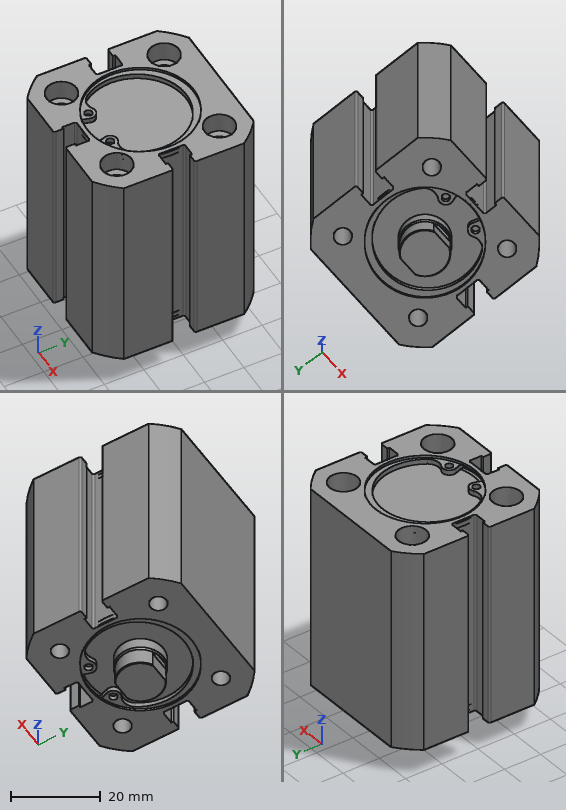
import cadquery as cq
import math

width = 41.0
overall_length = 59.0
housing_length = 53.0
corner_radius = 25.55
bore_radius = 13.5

bolt_spacing = 26.0
bolt_hole_diameter = 4.15
counterbore_diameter = 7.5
counterbore_depth = 5.15

ring_radius = 14.4
ring_thickness = 1.3
ring_inset = 0.65
ring_inner_radius = 12.45
ring_inner_offset = 0.8
lug_radius = 1.75
lug_hole_radius = 0.95
lug_x = 5.15
lug_y = -10.45
lug_blend_radius = 3.1

slot_neck_width = 5.5
slot_neck_depth = 2.5
slot_pocket_width = 6.65
slot_fillet = 0.5
side_slot_wall = 0.1
front_slot_wall = 0.2
side_slot_floor = ring_radius + side_slot_wall
front_slot_floor = ring_radius + front_slot_wall

plate_thickness = 5.9
plate_inset = ring_inset + ring_thickness

rod_radius = 6.0
neck_radius = 5.7
collar_length = 1.0
collar_taper = 0.5
neck_start = collar_length + collar_taper
rod_end_chamfer = 0.2
flats_width = 10.0
flats_start = 2.0
rod_protrusion = overall_length - housing_length
rod_top = housing_length - plate_inset - plate_thickness


def cylinder(radius, bottom, height):
    return cq.Workplane("XY").workplane(offset=bottom).circle(radius).extrude(height)


def ring_bottoms():
    """Z of the underside of the lower and of the upper retaining ring."""
    return [ring_inset, housing_length - ring_inset - ring_thickness]


def slot_cutter(floor, angle):
    """T-slot opening towards +X, turned about Z by the angle."""
    face = width / 2
    neck = slot_neck_width / 2
    pocket = slot_pocket_width / 2
    shoulder = face - slot_neck_depth
    mouth = neck + slot_fillet
    bulge = slot_fillet * (1 - math.sqrt(0.5))
    cutter = (
        cq.Workplane("XY")
        .moveTo(face, -mouth)
        .threePointArc((face - bulge, -neck - bulge), (face - slot_fillet, -neck))
        .lineTo(shoulder, -neck)
        .lineTo(shoulder, -pocket)
        .lineTo(floor + slot_fillet, -pocket)
        .threePointArc((floor + bulge, -pocket + bulge), (floor, -pocket + slot_fillet))
        .lineTo(floor, pocket - slot_fillet)
        .threePointArc((floor + bulge, pocket - bulge), (floor + slot_fillet, pocket))
        .lineTo(shoulder, pocket)
        .lineTo(shoulder, neck)
        .lineTo(face - slot_fillet, neck)
        .threePointArc((face - bulge, neck + bulge), (face, mouth))
        .close()
        .extrude(housing_length)
    )
    return cutter.rotate((0, 0, 0), (0, 0, 1), angle)


def make_housing():
    body = cq.Workplane("XY").rect(width, width).extrude(housing_length)
    body = body.intersect(cylinder(corner_radius, 0, housing_length))
    body = body.cut(cylinder(bore_radius, 0, housing_length))
    for bottom in ring_bottoms():
        body = body.cut(cylinder(ring_radius, bottom, ring_thickness))
    for floor, angle in [(side_slot_floor, 0), (side_slot_floor, 180), (front_slot_floor, -90)]:
        body = body.cut(slot_cutter(floor, angle))
    return (
        body.faces(">Z")
        .workplane(origin=(0, 0, housing_length))
        .rect(bolt_spacing, bolt_spacing, forConstruction=True)
        .vertices()
        .cboreHole(bolt_hole_diameter, counterbore_diameter, counterbore_depth)
    )


def point_towards(start, target, distance):
    """Point at a distance from start on the straight line towards target."""
    ratio = distance / math.dist(start, target)
    return (start[0] + ratio * (target[0] - start[0]), start[1] + ratio * (target[1] - start[1]))


def mirrored(point):
    return (-point[0], point[1])


def blend_center(inner_center, lug_center):
    """Centre of the arc that touches the inner circle from inside and the lug from outside."""
    to_inner = ring_inner_radius - lug_blend_radius
    to_lug = lug_radius + lug_blend_radius
    spacing = math.dist(inner_center, lug_center)
    along = (to_inner**2 - to_lug**2 + spacing**2) / (2 * spacing)
    aside = math.sqrt(to_inner**2 - along**2)
    foot = point_towards(inner_center, lug_center, along)
    direction_x = (lug_center[0] - inner_center[0]) / spacing
    direction_y = (lug_center[1] - inner_center[1]) / spacing
    return (foot[0] - aside * direction_y, foot[1] + aside * direction_x)


def make_ring(bottom):
    axis = (0, 0)
    inner_center = (0, -ring_inner_offset)
    lug = (lug_x, lug_y)
    blend = blend_center(inner_center, lug)

    lug_distance = math.dist(axis, lug)
    gap_angle = math.atan2(lug_x, -lug_y) - math.asin(lug_radius / lug_distance)
    gap_direction = (math.sin(gap_angle), -math.cos(gap_angle))
    outer_end = point_towards(axis, gap_direction, ring_radius)
    lug_start = point_towards(axis, gap_direction, math.sqrt(lug_distance**2 - lug_radius**2))

    lug_middle = point_towards(lug, inner_center, lug_radius)
    lug_end = point_towards(lug, blend, lug_radius)
    blend_end = point_towards(inner_center, blend, ring_inner_radius)
    blend_chord_middle = ((lug_end[0] + blend_end[0]) / 2, (lug_end[1] + blend_end[1]) / 2)
    blend_middle = point_towards(blend, blend_chord_middle, lug_blend_radius)
    inner_top = (0, ring_inner_radius - ring_inner_offset)

    return (
        cq.Workplane("XY")
        .workplane(offset=bottom)
        .moveTo(*outer_end)
        .lineTo(*lug_start)
        .threePointArc(lug_middle, lug_end)
        .threePointArc(blend_middle, blend_end)
        .threePointArc(inner_top, mirrored(blend_end))
        .threePointArc(mirrored(blend_middle), mirrored(lug_end))
        .threePointArc(mirrored(lug_middle), mirrored(lug_start))
        .lineTo(*mirrored(outer_end))
        .threePointArc((0, ring_radius), outer_end)
        .close()
        .pushPoints([lug, mirrored(lug)])
        .circle(lug_hole_radius)
        .extrude(ring_thickness)
    )


def make_head_plate():
    return cylinder(bore_radius, rod_top, plate_thickness)


def make_rod_cover():
    plate = cylinder(bore_radius, plate_inset, plate_thickness)
    return plate.cut(cylinder(rod_radius, plate_inset, plate_thickness))


def flat_cutter():
    """Profile in YZ that clears the +Y wrench flat, with a 45 degree run-out
    that stops where the neck begins.
    """
    flat = flats_width / 2
    beyond = rod_radius
    run_out = flats_start - neck_start
    return (
        cq.Workplane("YZ")
        .moveTo(flat, -rod_protrusion)
        .lineTo(flat, -flats_start)
        .lineTo(flat + run_out, -neck_start)
        .lineTo(beyond, -neck_start)
        .lineTo(beyond, -rod_protrusion)
        .close()
        .extrude(rod_radius, both=True)
    )


def make_rod():
    rod = (
        cq.Workplane("XZ")
        .moveTo(0, rod_top)
        .lineTo(rod_radius, rod_top)
        .lineTo(rod_radius, -collar_length)
        .lineTo(neck_radius, -neck_start)
        .lineTo(neck_radius, rod_end_chamfer - rod_protrusion)
        .lineTo(neck_radius - rod_end_chamfer, -rod_protrusion)
        .lineTo(0, -rod_protrusion)
        .close()
        .revolve(360, (0, 0, 0), (0, 1, 0))
    )
    flat = flat_cutter()
    return rod.cut(flat).cut(flat.mirror("XZ"))


housing = make_housing()
rings = [make_ring(bottom) for bottom in ring_bottoms()]
head_plate = make_head_plate()
rod_cover = make_rod_cover()
rod = make_rod()

result = cq.Compound.makeCompound(
    [housing.val(), *[ring.val() for ring in rings], head_plate.val(), rod_cover.val(), rod.val()]
)